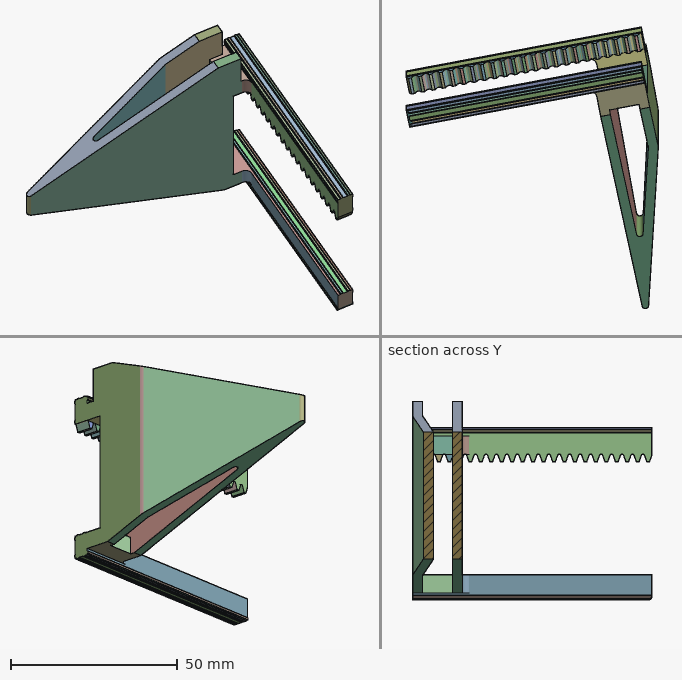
import cadquery as cq
import math


rail_length = 71.9
total_depth = 80.08
total_height = 59.68

rail_front_depth = 5.08
ridge_height = 0.2
front_ridge_height = 0.27
back_ridge_height = 0.12
rail_back_depth = back_ridge_height
ridge_base_width = 1.1
ridge_crest_width = 0.6
ridge_depths = (1.38, 3.8)
back_ridge_offset = 0.85
upper_front_ridge_offset = 0.93
lower_front_ridge_offset = 0.72
upper_rail_bottom = 43.73
upper_rail_top = 51.65
lower_rail_bottom = ridge_height
lower_rail_top = 7.5
lower_rail_end_radius = 1.2

module = 1.0
pressure_angle = math.radians(20)
tooth_pitch = math.pi * module
tooth_height = 2.2 * module
root_fillet = 0.2
last_tooth_inset = 1.14
tooth_count = 23

neck_front_depth = 11.85
upper_neck_top = 49.28
lower_neck_bottom = 2.18
neck_fillet = 2.0

jaw_width = 15.0
arm_thickness = 3.0
bend_depth = 27.2
bend_radius = 5.0
tip_radius = 1.0
slot_end_radius = 1.0

arm_back_depth = 7.5
window_depth = 10.14
upper_slope_start = 15.35
lower_slope_start = 13.3
tip_top = 35.6
tip_bottom = 27.35

tip_center_x = jaw_width - tip_radius
tip_center_depth = total_depth - tip_radius
bend_to_tip = math.hypot(tip_center_x, tip_center_depth - bend_depth)
slant_angle = (
    math.atan2(tip_center_x, tip_center_depth - bend_depth) - math.asin(tip_radius / bend_to_tip)
)
slant_cos = math.cos(slant_angle)
slant_sin = math.sin(slant_angle)


def round_end(center_x, center_depth, radius):
    """Points of an end arc: start on the slanted side, lowest point, end on the straight side."""
    start = (center_x - radius * slant_cos, -(center_depth + radius * slant_sin))
    middle = (center_x, -(center_depth + radius))
    end = (center_x + radius, -center_depth)
    return start, middle, end


def make_jaw_body():
    """Tapered jaw: the plan outline cut to the side outline."""
    start, middle, end = round_end(tip_center_x, tip_center_depth, tip_radius)
    plan = (
        cq.Workplane("XY")
        .moveTo(0, -arm_back_depth)
        .lineTo(0, -bend_depth)
        .lineTo(*start)
        .threePointArc(middle, end)
        .lineTo(jaw_width, -arm_back_depth)
        .close()
        .extrude(total_height)
    )
    bend_edge = cq.selectors.NearestToPointSelector((0, -bend_depth, total_height / 2))
    plan = plan.edges(bend_edge).fillet(bend_radius)

    side = (
        cq.Workplane("YZ")
        .polyline([
            (-arm_back_depth, total_height),
            (-upper_slope_start, total_height),
            (-total_depth, tip_top),
            (-total_depth, tip_bottom),
            (-lower_slope_start, lower_neck_bottom),
            (-arm_back_depth, lower_neck_bottom),
            (-arm_back_depth, lower_rail_top),
            (-window_depth, lower_rail_top),
            (-window_depth, upper_rail_bottom),
            (-arm_back_depth, upper_rail_bottom),
        ])
        .close()
        .extrude(jaw_width)
    )
    return plan.intersect(side)


def make_jaw_slot():
    """Full-height slot that leaves two arms and narrows to a round end."""
    straight_side = jaw_width - arm_thickness
    inner_bend_depth = bend_depth - arm_thickness * math.tan(slant_angle / 2)
    end_center_x = straight_side - slot_end_radius
    slant_distance = arm_thickness + slot_end_radius
    end_center_depth = bend_depth + (end_center_x * slant_cos - slant_distance) / slant_sin
    start, middle, end = round_end(end_center_x, end_center_depth, slot_end_radius)
    return (
        cq.Workplane("XY")
        .moveTo(arm_thickness, 0)
        .lineTo(arm_thickness, -inner_bend_depth)
        .lineTo(*start)
        .threePointArc(middle, end)
        .lineTo(straight_side, 0)
        .close()
        .extrude(total_height)
    )


def make_neck(bottom, top):
    """Block between rail and jaw, with a concave fillet into the rail on the +X side."""
    fillet_end_depth = rail_front_depth + neck_fillet
    arc_offset = neck_fillet * (1 - math.sqrt(0.5))
    return (
        cq.Workplane("XY", origin=(0, 0, bottom))
        .moveTo(0, -rail_back_depth)
        .lineTo(jaw_width + neck_fillet, -rail_back_depth)
        .lineTo(jaw_width + neck_fillet, -rail_front_depth)
        .threePointArc(
            (jaw_width + arc_offset, -(rail_front_depth + arc_offset)),
            (jaw_width, -fillet_end_depth),
        )
        .lineTo(jaw_width, -neck_front_depth)
        .lineTo(0, -neck_front_depth)
        .close()
        .extrude(top - bottom)
    )


def make_ridge(depth, height, outward, rise=ridge_height):
    """Trapezoidal ridge along a rail, centred at a depth and height; outward is its (Y, Z) direction."""
    out_y, out_z = outward
    half_base = ridge_base_width / 2
    half_crest = ridge_crest_width / 2
    section = [
        (-half_base, -ridge_height),
        (-half_base, 0),
        (-half_crest, rise),
        (half_crest, rise),
        (half_base, 0),
        (half_base, -ridge_height),
    ]
    points = [
        (-depth + along * out_z + out * out_y, height + along * out_y + out * out_z)
        for along, out in section
    ]
    return cq.Workplane("YZ").polyline(points).close().extrude(rail_length)


def make_rail(bottom, top, front_ridge_z):
    """Rectangular rail with two ridges on top, two on the back and one on the front."""
    rail = (
        cq.Workplane("XY")
        .box(rail_length, rail_front_depth - rail_back_depth, top - bottom, centered=False)
        .translate((0, -rail_front_depth, bottom))
    )
    for depth in ridge_depths:
        rail = rail.union(make_ridge(depth, top, (0, 1)))
    for height in (bottom + back_ridge_offset, top - back_ridge_offset):
        rail = rail.union(make_ridge(rail_back_depth, height, (1, 0), back_ridge_height))
    return rail.union(make_ridge(rail_front_depth, front_ridge_z, (-1, 0), front_ridge_height))


def make_upper_rail():
    """Upper rail, with its front ridge near the top."""
    return make_rail(upper_rail_bottom, upper_rail_top, upper_rail_top - upper_front_ridge_offset)


def make_lower_rail():
    """Lower rail, ridged below as well, with a rounded lower edge at its free end."""
    rail = make_rail(lower_rail_bottom, lower_rail_top, lower_rail_bottom + lower_front_ridge_offset)
    for depth in ridge_depths:
        rail = rail.union(make_ridge(depth, lower_rail_bottom, (0, -1)))

    envelope = (
        cq.Workplane("XY")
        .box(rail_length, total_depth, 2 * lower_rail_top, centered=(False, True, False))
        .edges("|Y and >X and <Z")
        .fillet(lower_rail_end_radius)
    )
    return rail.intersect(envelope)


def make_rack():
    """Rack teeth below the upper rail; the last tooth is trimmed flush with the rail end."""
    crest_half = tooth_pitch / 4 - module * math.tan(pressure_angle)
    root_half = crest_half + tooth_height * math.tan(pressure_angle)
    root = upper_rail_bottom
    base_top = root + module

    last_center = rail_length - last_tooth_inset
    first_center = last_center - (tooth_count - 1) * tooth_pitch
    outline = [(first_center - tooth_pitch / 2, base_top), (first_center - tooth_pitch / 2, root)]
    for index in range(tooth_count):
        center = first_center + index * tooth_pitch
        outline += [
            (center - root_half, root),
            (center - crest_half, root - tooth_height),
            (center + crest_half, root - tooth_height),
            (center + root_half, root),
        ]
    outline += [(last_center + tooth_pitch / 2, root), (last_center + tooth_pitch / 2, base_top)]
    rack = (
        cq.Workplane("XZ", origin=(0, -rail_back_depth, 0))
        .polyline(outline)
        .close()
        .extrude(rail_front_depth - rail_back_depth)
    )

    margin = 0.1 * module
    root_edges = cq.selectors.BoxSelector(
        (first_center - root_half - margin, -rail_front_depth, root - margin),
        (last_center + root_half + margin, 0, root + margin),
    )
    rack = rack.edges("|Y").edges(root_edges).fillet(root_fillet)
    envelope = cq.Workplane("XY").box(
        rail_length, total_depth, total_height, centered=(False, True, False)
    )
    return rack.intersect(envelope)


result = (
    make_jaw_body()
    .cut(make_jaw_slot())
    .union(make_neck(upper_rail_bottom, upper_neck_top))
    .union(make_neck(lower_neck_bottom, lower_rail_top))
    .union(make_upper_rail())
    .union(make_lower_rail())
    .union(make_rack())
    .clean()
)